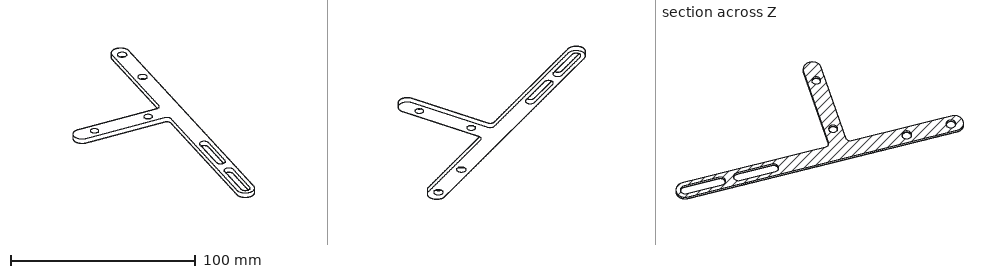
import cadquery as cq

length = 162.2
depth = 65.0
thickness = 3.0
arm_width = 10.0
end_radius = arm_width / 2

left_end_bulge = 4.0

junction_radius = 2.5

stem_x = 69.1
bar_hole_diameter = 5.0
bar_hole_xs = (7.0, 32.0)
stem_hole_diameter = 4.5
stem_hole_offsets = (15.1, 47.5)

slot_length = 25.0
slot_width = bar_hole_diameter
slot_pitch = 30.0
slot_end_wall = 2.6
last_slot_x = length - slot_end_wall - slot_length / 2
slot_xs = (last_slot_x - slot_pitch, last_slot_x)

bar_bottom = -arm_width / 2
stem_bottom = arm_width / 2 - depth
stem_left = stem_x - arm_width / 2
stem_right = stem_x + arm_width / 2


def tee_plate():
    """T-shaped plate with rounded ends and filleted corners."""
    plate = (
        cq.Workplane("XY")
        .moveTo(left_end_bulge, bar_bottom)
        .lineTo(stem_left, bar_bottom)
        .lineTo(stem_left, stem_bottom + end_radius)
        .threePointArc((stem_x, stem_bottom), (stem_right, stem_bottom + end_radius))
        .lineTo(stem_right, bar_bottom)
        .lineTo(length - end_radius, bar_bottom)
        .threePointArc((length, 0), (length - end_radius, arm_width / 2))
        .lineTo(left_end_bulge, arm_width / 2)
        .threePointArc((0, 0), (left_end_bulge, bar_bottom))
        .close()
        .extrude(thickness)
    )
    junction_corners = [(x, bar_bottom, thickness / 2) for x in (stem_left, stem_right)]
    for corner in junction_corners:
        plate = plate.edges(cq.selectors.NearestToPointSelector(corner)).fillet(junction_radius)
    return plate


def round_holes(points, diameter):
    return cq.Workplane("XY").pushPoints(points).circle(diameter / 2).extrude(thickness)


def slots():
    points = [(x, 0) for x in slot_xs]
    return cq.Workplane("XY").pushPoints(points).slot2D(slot_length, slot_width).extrude(thickness)


bar_holes = round_holes([(x, 0) for x in bar_hole_xs], bar_hole_diameter)
stem_holes = round_holes([(stem_x, -offset) for offset in stem_hole_offsets], stem_hole_diameter)

result = tee_plate().cut(bar_holes).cut(stem_holes).cut(slots())